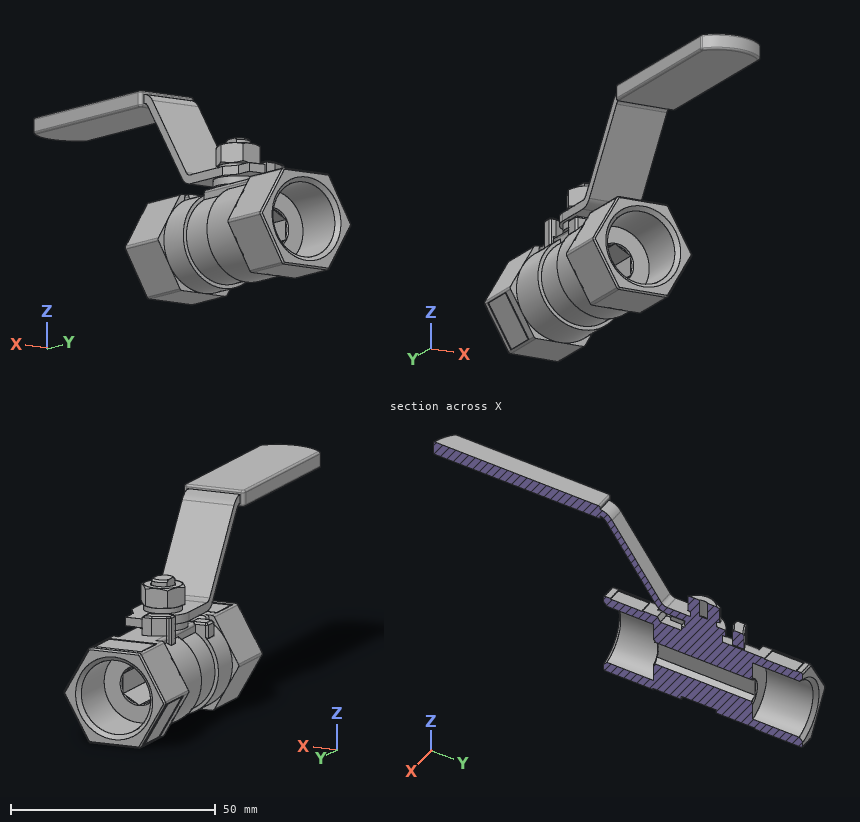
import cadquery as cq
import math


BODY_FRONT = -28.6
BODY_BACK = 28.4
HEX_FLATS = 24.0
BODY_TOP = HEX_FLATS / 2
HEX_EDGE_FILLET = 0.7
HEX_END_CHAMFER = 0.4
BACK_HEX_LENGTH = 13.8
FRONT_HEX_LENGTH = 14.2
BARREL_RADIUS = BODY_TOP
NECK_RADIUS = 11.0
NECK_BACK = 3.5
NECK_FRONT = -6.4

BORE_RADIUS = 9.3
BORE_CHAMFER = 1.1
BORE_DEPTH = 14.3
PORT_FLATS = 8.7
PORT_MOUTH_DEPTH = 0.3

PANEL_LENGTH = 9.0
PANEL_WIDTH = 12.7
PANEL_DEPTH = 0.2
PANEL_END_GAP = 1.9

PAD_WIDTH = 11.4
PAD_FILLET = 0.8
NOTCH_FLOOR = 10.6
RAMP_BOTTOM = -12.3
RAMP_TOP = -13.1

LUG_OUTER_X = -9.0
LUG_INNER_X = -4.8
LUG_LENGTH = 4.2
LUG_HEIGHT = 3.9
LUG_CHAMFER = 0.5

STRIP_THICKNESS = 2.2
LEVER_HALF_WIDTH = 7.0
LEVER_BOTTOM = 13.9
LEVER_TOP = LEVER_BOTTOM + STRIP_THICKNESS
LOWER_BEND_Y = -12.0
LOWER_BEND_RADIUS = 3.1
UPPER_BEND_RADIUS = 3.7
RISE_ANGLE = 55.0
TAIL_BACK = 11.3
TAIL_HALF_WIDTH = 4.9
TAPER_START = 3.2
TAPER_END = 6.8

GRIP_WIDTH = 16.4
GRIP_THICKNESS = 4.1
GRIP_TOP = 40.1
GRIP_START = -29.5
GRIP_TIP = -77.6
GRIP_ARC_START = -73.9
GRIP_FILLET = 0.5
GRIP_CORNER_FILLET = 0.8
STRIP_INSERTION = 3.2

FINGER_INNER_RADIUS = 8.7
FINGER_OUTER_RADIUS = 11.9
FINGER_ROOT_X = 0.1
FINGER_TIP_X = -6.8
FINGER_TIP_FRONT = 7.1
FINGER_TIP_BACK = 10.3
FINGER_TIP_LENGTH = 1.1
FINGER_BEND_X = -2.4
FINGER_TOP = 17.1
FINGER_BOTTOM = 12.2
FINGER_TIP_BOTTOM = 9.5
FINGER_CHAMFER = 0.4

COLLAR_RADIUS = 6.1
WASHER_RADIUS = 4.8
NUT_BOTTOM = 17.4
NUT_TOP = 22.5
NUT_CORNER_RADIUS = 5.7
NUT_FACE_RADIUS = 4.8
NUT_CHAMFER_HEIGHT = 0.4
NUT_TURN = 6.0
STEM_RADIUS = 3.1
STEM_TOP = 24.1
STEM_CHAMFER = 0.5
STEM_FLATS = 4.2


def box_between(x_range, y_range, z_range):
    """Box from its limits along each axis."""
    size = [limits[1] - limits[0] for limits in (x_range, y_range, z_range)]
    corner = (x_range[0], y_range[0], z_range[0])
    return cq.Workplane("XY").box(*size, centered=False).translate(corner)


def cylinder_y(radius, y_front, y_back):
    """Cylinder on the bore axis."""
    return cq.Workplane("XZ", origin=(0, y_back, 0)).circle(radius).extrude(y_back - y_front)


def cylinder_z(radius, z_bottom, z_top):
    """Cylinder on the stem axis."""
    return cq.Workplane("XY", origin=(0, 0, z_bottom)).circle(radius).extrude(z_top - z_bottom)


def hex_end(y_front, y_back, end_face):
    """Hexagonal wrench end with flats on top and bottom; end_face is its outer face."""
    corner_diameter = HEX_FLATS / math.cos(math.pi / 6)
    prism = cq.Workplane("XZ", origin=(0, y_back, 0)).polygon(6, corner_diameter).extrude(y_back - y_front)
    return prism.edges("|Y").fillet(HEX_EDGE_FILLET).faces(end_face).chamfer(HEX_END_CHAMFER)


def label_panel(y_center, turn):
    """Cutter for a panel on the top flat, turned about the bore axis to another flat."""
    panel = cq.Workplane("XY").box(PANEL_WIDTH, PANEL_LENGTH, 2 * PANEL_DEPTH)
    return panel.translate((0, y_center, BODY_TOP)).rotate((0, 0, 0), (0, 1, 0), turn)


def bore_cutter():
    """Chamfered bore from the front end to the central web."""
    mouth_radius = BORE_RADIUS + BORE_CHAMFER
    port_radius = PORT_FLATS / math.cos(math.pi / 6) / 2
    web_face = BODY_FRONT + BORE_DEPTH
    profile = [
        (0, BODY_FRONT),
        (mouth_radius, BODY_FRONT),
        (BORE_RADIUS, BODY_FRONT + BORE_CHAMFER),
        (BORE_RADIUS, web_face),
        (port_radius, web_face),
        (port_radius - PORT_MOUTH_DEPTH, web_face + PORT_MOUTH_DEPTH),
        (0, web_face + PORT_MOUTH_DEPTH),
    ]
    return cq.Workplane("XY").polyline(profile).close().revolve(360, (0, 0, 0), (0, 1, 0))


def port_cutter():
    """Hexagonal port through the web, with corners up and down."""
    corner_diameter = PORT_FLATS / math.cos(math.pi / 6)
    port = cq.Workplane("XZ").polygon(6, corner_diameter).extrude(BODY_BACK, both=True)
    return port.rotate((0, 0, 0), (0, 1, 0), 30)


def make_body():
    back_hex_front = BODY_BACK - BACK_HEX_LENGTH
    front_hex_back = BODY_FRONT + FRONT_HEX_LENGTH
    half_pad = PAD_WIDTH / 2

    barrel = cylinder_y(BARREL_RADIUS, NECK_BACK, back_hex_front)
    barrel = barrel.union(cylinder_y(BARREL_RADIUS, front_hex_back, NECK_FRONT))
    barrel = barrel.union(cylinder_y(NECK_RADIUS, NECK_FRONT, NECK_BACK))
    pad = box_between((-half_pad, half_pad), (front_hex_back, back_hex_front), (0, BODY_TOP))
    barrel = barrel.union(pad.edges("|Y and >Z").fillet(PAD_FILLET))

    notch_outline = [
        (NECK_FRONT, BODY_TOP),
        (NECK_FRONT, NOTCH_FLOOR),
        (RAMP_BOTTOM, NOTCH_FLOOR),
        (RAMP_TOP, BODY_TOP),
    ]
    notch = cq.Workplane("YZ").polyline(notch_outline).close().extrude(BARREL_RADIUS, both=True)
    barrel = barrel.cut(notch)

    lug = box_between(
        (LUG_OUTER_X, LUG_INNER_X), (NECK_FRONT - LUG_LENGTH, NECK_FRONT), (BODY_TOP - LUG_HEIGHT, BODY_TOP)
    )
    lug = lug.edges("|Z and <X").chamfer(LUG_CHAMFER)
    lug = lug.faces(">Z").edges("not >X").chamfer(LUG_CHAMFER)

    body = barrel.union(lug)
    body = body.union(hex_end(back_hex_front, BODY_BACK, ">Y"))
    body = body.union(hex_end(BODY_FRONT, front_hex_back, "<Y"))

    panel_center = BODY_BACK - PANEL_END_GAP - PANEL_LENGTH / 2
    body = body.cut(label_panel(panel_center, 0))
    body = body.cut(label_panel(-panel_center, 0))
    body = body.cut(label_panel(panel_center, -120))

    bore = bore_cutter()
    back_bore = bore.mirror("XZ").translate((0, BODY_BACK + BODY_FRONT, 0))
    return body.cut(bore).cut(back_bore).cut(port_cutter())


def make_strip():
    """Bent strip of the lever, from the stem up into the grip."""
    slope = math.tan(math.radians(RISE_ANGLE))
    miter = STRIP_THICKNESS * math.tan(math.radians(RISE_ANGLE / 2))
    upper_bottom = GRIP_TOP - GRIP_THICKNESS / 2 - STRIP_THICKNESS / 2
    upper_top = upper_bottom + STRIP_THICKNESS
    lower_under_y = LOWER_BEND_Y - miter / 2
    lower_over_y = LOWER_BEND_Y + miter / 2
    run = (upper_bottom - LEVER_BOTTOM) / slope
    strip_end = GRIP_START - STRIP_INSERTION
    profile = [
        (0, LEVER_BOTTOM),
        (lower_under_y, LEVER_BOTTOM),
        (lower_under_y - run, upper_bottom),
        (strip_end, upper_bottom),
        (strip_end, upper_top),
        (lower_over_y - run, upper_top),
        (lower_over_y, LEVER_TOP),
        (0, LEVER_TOP),
    ]
    strip = cq.Workplane("YZ").polyline(profile).close().extrude(LEVER_HALF_WIDTH, both=True)

    half = STRIP_THICKNESS / 2
    bends = [
        (lower_under_y, LEVER_BOTTOM, LOWER_BEND_RADIUS + half),
        (lower_over_y, LEVER_TOP, LOWER_BEND_RADIUS - half),
        (lower_under_y - run, upper_bottom, UPPER_BEND_RADIUS - half),
        (lower_over_y - run, upper_top, UPPER_BEND_RADIUS + half),
    ]
    for y, z, radius in bends:
        strip = strip.edges(cq.selectors.NearestToPointSelector((0, y, z))).fillet(radius)
    return strip


def make_tail():
    """Lever plate behind the stem: round on the left, a tapered tab on the right."""
    diagonal = LEVER_HALF_WIDTH * math.sqrt(0.5)
    return (
        cq.Workplane("XY", origin=(0, 0, LEVER_BOTTOM))
        .moveTo(-LEVER_HALF_WIDTH, 0)
        .threePointArc((-diagonal, diagonal), (0, LEVER_HALF_WIDTH))
        .lineTo(0, TAIL_BACK)
        .lineTo(TAIL_HALF_WIDTH, TAIL_BACK)
        .lineTo(TAIL_HALF_WIDTH, TAPER_END)
        .lineTo(LEVER_HALF_WIDTH, TAPER_START)
        .lineTo(LEVER_HALF_WIDTH, 0)
        .close()
        .extrude(STRIP_THICKNESS)
    )


def make_grip():
    half_width = GRIP_WIDTH / 2
    sleeve = (
        cq.Workplane("XY", origin=(0, 0, GRIP_TOP - GRIP_THICKNESS))
        .moveTo(-half_width, GRIP_START)
        .lineTo(half_width, GRIP_START)
        .lineTo(half_width, GRIP_ARC_START)
        .threePointArc((0, GRIP_TIP), (-half_width, GRIP_ARC_START))
        .close()
        .extrude(GRIP_THICKNESS)
    )
    return sleeve.edges("|Z").fillet(GRIP_CORNER_FILLET).faces("<Z or >Z").edges().fillet(GRIP_FILLET)


def make_finger():
    """Curved stop finger whose tip hangs down beside the pad."""

    def on_circle(radius, x):
        return (x, math.sqrt(radius**2 - x**2))

    tip_inner_x = FINGER_TIP_X + FINGER_TIP_LENGTH
    inner_end_x = -math.sqrt(FINGER_INNER_RADIUS**2 - FINGER_TIP_FRONT**2)
    finger = (
        cq.Workplane("XY", origin=(0, 0, FINGER_TIP_BOTTOM))
        .moveTo(FINGER_TIP_X, FINGER_TIP_FRONT)
        .lineTo(inner_end_x, FINGER_TIP_FRONT)
        .threePointArc(
            on_circle(FINGER_INNER_RADIUS, FINGER_BEND_X), on_circle(FINGER_INNER_RADIUS, FINGER_ROOT_X)
        )
        .lineTo(FINGER_ROOT_X, FINGER_OUTER_RADIUS)
        .lineTo(FINGER_BEND_X, FINGER_OUTER_RADIUS)
        .lineTo(tip_inner_x, FINGER_TIP_BACK)
        .lineTo(FINGER_TIP_X, FINGER_TIP_BACK)
        .close()
        .extrude(FINGER_TOP - FINGER_TIP_BOTTOM)
    )
    finger = finger.edges("|Z and <X").chamfer(FINGER_CHAMFER).faces(">Z").chamfer(FINGER_CHAMFER)
    pad_clearance = box_between(
        (-PAD_WIDTH / 2, FINGER_ROOT_X), (0, FINGER_OUTER_RADIUS), (FINGER_TIP_BOTTOM, FINGER_BOTTOM)
    )
    return finger.cut(pad_clearance)


def make_nut():
    """Hexagon nut with chamfered corners and a plain hole for the stem."""
    height = NUT_TOP - NUT_BOTTOM
    prism = cq.Workplane("XY", origin=(0, 0, NUT_BOTTOM)).polygon(6, 2 * NUT_CORNER_RADIUS).extrude(height)
    prism = prism.rotate((0, 0, 0), (0, 0, 1), NUT_TURN)
    envelope = cylinder_z(NUT_CORNER_RADIUS, NUT_BOTTOM, NUT_TOP)
    envelope = envelope.faces("<Z or >Z").chamfer(NUT_CHAMFER_HEIGHT, NUT_CORNER_RADIUS - NUT_FACE_RADIUS)
    return prism.intersect(envelope).cut(cylinder_z(STEM_RADIUS, NUT_BOTTOM, NUT_TOP))


def make_stem():
    """Chamfered stem end with two flats facing left and right."""
    stem = cylinder_z(STEM_RADIUS, LEVER_BOTTOM, STEM_TOP).faces(">Z").chamfer(STEM_CHAMFER)
    half_flats = STEM_FLATS / 2
    return stem.intersect(
        box_between((-half_flats, half_flats), (-STEM_RADIUS, STEM_RADIUS), (LEVER_BOTTOM, STEM_TOP))
    )


result = make_body()
result = result.union(cylinder_z(COLLAR_RADIUS, BODY_TOP, LEVER_BOTTOM))
lever = make_strip().union(make_tail()).union(make_grip()).union(make_finger())
result = result.union(lever)
result = result.union(cylinder_z(WASHER_RADIUS, LEVER_TOP, NUT_BOTTOM))
result = result.union(make_nut()).union(make_stem())